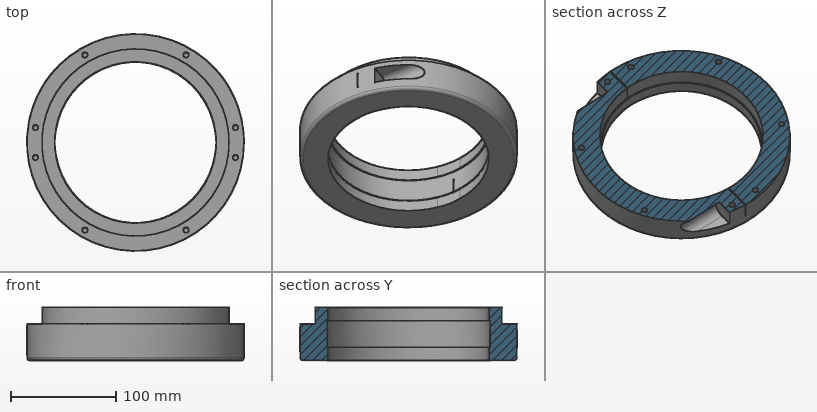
import cadquery as cq
import math

FLANGE_DIAMETER = 206.375
HUB_DIAMETER = 177.8
BORE_DIAMETER = 152.6
TOTAL_HEIGHT = 50.8
FLANGE_HEIGHT = 34.925
BOTTOM_FILLET = 3.175

RELIEF_HEIGHT = 25.4
RELIEF_DEPTH = 0.95

BORE_CHAMFER = 0.35

SCOOP_HALF_WIDTH = 12.3
SCOOP_DEPTH = 0.3

SCREW_CIRCLE_RADIUS = 96.04
SCREW_ANGLES = (8.5, 60.0)
SCREW_HOLE_DIAMETER = 5.1
SCREW_HOLE_DEPTH = 12.7
DRILL_POINT_ANGLE = 118.0

POCKET_WIDTH = 17.4625
POCKET_AXIS_X = 88.9
POCKET_CENTER_Z = 20.6375
POCKET_SEAT_Y = 22.0

GROOVE_DEPTH = 4.7
TONGUE_LENGTH = 4.1
TONGUE_HEIGHT = 16.5

FLANGE_RADIUS = FLANGE_DIAMETER / 2


def cylinder(diameter, bottom, height):
    """Cylinder about the Z axis."""
    return cq.Workplane("XY").workplane(offset=bottom).circle(diameter / 2).extrude(height)


def mirrored_pair(cutter):
    """The cutter together with its mirror image across X = 0."""
    return cutter.union(cutter.mirror("YZ"))


def ring_body():
    flange = cylinder(FLANGE_DIAMETER, 0, FLANGE_HEIGHT)
    flange = flange.faces("<Z").edges().fillet(BOTTOM_FILLET)
    hub = cylinder(HUB_DIAMETER, 0, TOTAL_HEIGHT)
    bore = cylinder(BORE_DIAMETER, 0, TOTAL_HEIGHT)
    relief_bottom = (TOTAL_HEIGHT - RELIEF_HEIGHT) / 2
    relief = cylinder(BORE_DIAMETER + 2 * RELIEF_DEPTH, relief_bottom, RELIEF_HEIGHT)
    ring = flange.union(hub).cut(bore)
    ring = ring.faces(">Z").edges(cq.selectors.RadiusNthSelector(0)).chamfer(BORE_CHAMFER)
    return ring.cut(relief)


def bore_scoops():
    """Upright cylinders, rounder than the bore, that deepen it slightly at the joint."""
    bore_radius = BORE_DIAMETER / 2
    bore_sag = bore_radius - math.sqrt(bore_radius**2 - SCOOP_HALF_WIDTH**2)
    scoop_sag = bore_sag + SCOOP_DEPTH
    scoop_radius = (SCOOP_HALF_WIDTH**2 + scoop_sag**2) / (2 * scoop_sag)
    scoop_axis_x = bore_radius + SCOOP_DEPTH - scoop_radius
    scoop = cylinder(2 * scoop_radius, 0, TOTAL_HEIGHT).translate((scoop_axis_x, 0, 0))
    return mirrored_pair(scoop)


def screw_holes():
    """Drilled holes with conical bottoms."""
    radius = SCREW_HOLE_DIAMETER / 2
    point_height = radius / math.tan(math.radians(DRILL_POINT_ANGLE / 2))
    drill = (
        cq.Workplane("XZ")
        .moveTo(0, FLANGE_HEIGHT)
        .lineTo(radius, FLANGE_HEIGHT)
        .lineTo(radius, FLANGE_HEIGHT - SCREW_HOLE_DEPTH)
        .lineTo(0, FLANGE_HEIGHT - SCREW_HOLE_DEPTH - point_height)
        .close()
        .revolve(360, (0, 0, 0), (0, 1, 0))
    )
    holes = cq.Workplane("XY")
    for angle in SCREW_ANGLES:
        for direction in (angle, 180 - angle, 180 + angle, 360 - angle):
            x = SCREW_CIRCLE_RADIUS * math.cos(math.radians(direction))
            y = SCREW_CIRCLE_RADIUS * math.sin(math.radians(direction))
            holes = holes.add(drill.translate((x, y, 0)))
    return holes.combine()


def bolt_pockets():
    """Half-round troughs along Y with a flat bolt seat, opening outward in X."""
    radius = POCKET_WIDTH / 2
    pocket = (
        cq.Workplane("XZ", origin=(0, POCKET_SEAT_Y, POCKET_CENTER_Z))
        .moveTo(-FLANGE_RADIUS, radius)
        .lineTo(-POCKET_AXIS_X, radius)
        .threePointArc((-POCKET_AXIS_X + radius, 0), (-POCKET_AXIS_X, -radius))
        .lineTo(-FLANGE_RADIUS, -radius)
        .close()
        .extrude(-FLANGE_RADIUS)
    )
    return mirrored_pair(pocket)


def joint_clearance():
    """Narrow gap past the tongue tips, running in X through both walls of the ring."""
    return (
        cq.Workplane("XY", origin=(0, TONGUE_LENGTH, POCKET_CENTER_Z))
        .box(FLANGE_DIAMETER, GROOVE_DEPTH - TONGUE_LENGTH, TONGUE_HEIGHT, centered=(True, False, True))
    )


result = ring_body().cut(bore_scoops())
result = result.cut(screw_holes()).cut(bolt_pockets()).cut(joint_clearance())